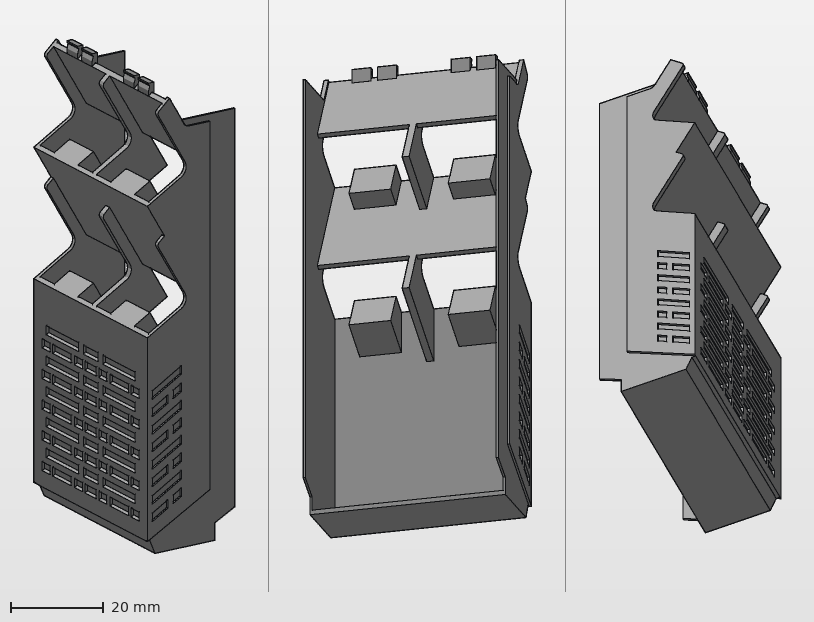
import cadquery as cq
import math


WIDTH = 45.0
DEPTH = 22.76
HEIGHT = 105.49

SIDE_WALL = 1.0
OUTER_SKIN = 0.5
LINER_WIDTH = WIDTH - 2 * OUTER_SKIN
INNER_WIDTH = WIDTH - 2 * SIDE_WALL
PLATE_THICKNESS = 1.15
FLOOR_THICKNESS = 1.0
RIB_WIDTH = 1.6
FUSE_OVERLAP = 0.2

SHALLOW = math.radians(30)
STEEP = math.radians(60)
END_ANGLE = math.radians(42)
BAY_PITCH = 30.1
LOWER_RIM_Z = 49.95
UPPER_RIM_Z = LOWER_RIM_Z + BAY_PITCH
FLANGE_RISE = 25.1
FLANGE_END_Y = 4.4
VALLEY_RADIUS = 2.5
FLANGE_RADIUS = 0.9
PLATE_FOOT_Y = 12.85
RIB_TIP_Y = 19.2

SHELL_BOTTOM_Z = 3.3
SHELL_BACK_Y = 16.05
SHELL_BACK_BOTTOM_Z = 12.1
SHELL_TOP_Z = 96.4
SHELL_END_Y = 5.7
SHELL_NECK_RADIUS = 1.3

LINER_TOP_Z = 97.9
LINER_BACK_BOTTOM_Z = 6.7
FLOOR_BACK_Y = 17.65
FLOOR_BACK_STEP_Z = 4.0
FLOOR_FRONT_Y = 2.3
LINER_FRONT_Y = 0.9

GROUP_X = 11.18
BLOCK_WIDTH = 9.4
BLOCK_DEPTH_Y = 4.95
BLOCK_DROP_Y = 4.0
CLIP_WIDTH = 4.27
CLIP_OFFSET_X = 2.875
CLIP_FRONT_Y = FLANGE_END_Y
CLIP_BACK_Y = 5.8
CLIP_NOTCH_DEPTH = 0.3
CLIP_LIP_HEIGHT = 0.35
CLIP_NOTCH_Z = 104.8
CLIP_NOTCH_BOTTOM_Z = 103.7

FRONT_VENT_DEPTH = 0.65
FRONT_VENT_HEIGHT = 2.05
FRONT_VENT_TOP_Z = 40.65
FRONT_VENT_PITCH = 3.51
FRONT_VENT_ROWS = 10
WIDE_ROW_SLOTS = ((0, 5.7), (11.2, 12.7))
NARROW_ROW_SLOTS = ((0, 4.4), (4.8, 3.1), (11.36, 7.28), (17.6, 3.1))

SIDE_VENT_HEIGHT = 1.92
SIDE_VENT_TOP_Z = 41.9
SIDE_VENT_PITCH = 4.0
SIDE_VENT_ROWS = 8
SIDE_VENT_FRONT_Y = 1.28
SIDE_VENT_BACK_Y = 8.76
FULL_ROW_SLOTS = ((SIDE_VENT_FRONT_Y, SIDE_VENT_BACK_Y),)
SPLIT_ROW_SLOTS = ((SIDE_VENT_FRONT_Y, 5.24), (6.65, SIDE_VENT_BACK_Y))


def toward(start, end, distance):
    """The point at a distance from start on the way to end."""
    share = distance / math.dist(start, end)
    return tuple(a + (b - a) * share for a, b in zip(start, end))


def prism(corners, width, centre_x=0.0):
    """Extrude an outline of (Y, Z) or (Y, Z, radius) corners along X; the first is sharp."""
    wire = None
    count = len(corners)
    for i, corner in enumerate(corners):
        point = corner[:2]
        if len(corner) == 2:
            wire = wire.lineTo(*point) if wire else cq.Workplane("YZ").moveTo(*point)
            continue
        radius = corner[2]
        before = corners[i - 1][:2]
        after = corners[(i + 1) % count][:2]
        ahead = toward(point, after, 1.0)
        behind = toward(point, before, 1.0)
        half_angle = math.asin(math.dist(ahead, behind) / 2)
        middle = ((ahead[0] + behind[0]) / 2, (ahead[1] + behind[1]) / 2)
        start = toward(point, before, radius / math.tan(half_angle))
        end = toward(point, after, radius / math.tan(half_angle))
        crown = toward(point, middle, radius / math.sin(half_angle) - radius)
        wire = wire.lineTo(*start).threePointArc(crown, end)
    return wire.close().extrude(width / 2, both=True).translate((centre_x, 0, 0))


def plate_front_z(rim_z, y):
    """Height of the front face of the steep plate that hangs from a rim."""
    return rim_z - y * math.tan(STEEP)


def plate_back_z(rim_z, y):
    """Height of the back face of the same plate."""
    return plate_front_z(rim_z, y) + PLATE_THICKNESS / math.cos(STEEP)


def plate_end_back_y(front_y, end_angle):
    """Depth at which a sloping upper end, starting at front_y, meets the back face of a plate."""
    end_depth = PLATE_THICKNESS / math.cos(STEEP) / (math.tan(STEEP) + math.tan(end_angle))
    return front_y + end_depth


def flange_end_z(rim_z, y):
    """Height of the sloping upper end of the bay above a rim."""
    upper_plate_z = plate_front_z(rim_z + BAY_PITCH, FLANGE_END_Y)
    return upper_plate_z + (y - FLANGE_END_Y) * math.tan(END_ANGLE)


def bay_front(rim_z):
    """Front outline of one bay from its rim to the foot of its flange end."""
    valley_y = FLANGE_RISE / (math.tan(SHALLOW) + math.tan(STEEP))
    valley_z = rim_z + valley_y * math.tan(SHALLOW)
    end_rise = flange_end_z(rim_z, 0) - rim_z
    tip_y = (FLANGE_RISE - end_rise) / (math.tan(END_ANGLE) + math.tan(STEEP))
    return [
        (0, rim_z),
        (valley_y, valley_z, VALLEY_RADIUS),
        (tip_y, flange_end_z(rim_z, tip_y), FLANGE_RADIUS),
        (FLANGE_END_Y, flange_end_z(rim_z, FLANGE_END_Y)),
    ]


def bays_front():
    """Front outline of both bays, from the lower rim upward."""
    return bay_front(LOWER_RIM_Z) + bay_front(UPPER_RIM_Z)


SHELL_END_Z = flange_end_z(UPPER_RIM_Z, SHELL_END_Y)


def shell_neck_y(z):
    """Depth of the steep back edge of the side walls above the back panel."""
    return SHELL_END_Y + (SHELL_END_Z - z) / math.tan(STEEP)


def make_side_walls():
    """Both side walls: an outer skin over a liner that reaches further back and down."""
    skin_outline = [
        (0, SHELL_BOTTOM_Z),
        *bays_front(),
        (SHELL_END_Y, SHELL_END_Z),
        (shell_neck_y(SHELL_TOP_Z), SHELL_TOP_Z, SHELL_NECK_RADIUS),
        (SHELL_BACK_Y, SHELL_TOP_Z),
        (SHELL_BACK_Y, SHELL_BACK_BOTTOM_Z),
    ]
    liner_outline = [
        (LINER_FRONT_Y, SHELL_BOTTOM_Z),
        (0, SHELL_BOTTOM_Z),
        *bays_front(),
        (SHELL_END_Y, SHELL_END_Z),
        (shell_neck_y(LINER_TOP_Z), LINER_TOP_Z),
        (DEPTH, LINER_TOP_Z),
        (DEPTH, LINER_BACK_BOTTOM_Z),
        (FLOOR_BACK_Y, FLOOR_BACK_STEP_Z),
        (FLOOR_BACK_Y, 0),
        (FLOOR_FRONT_Y, 0),
    ]
    inside = cq.Workplane().box(INNER_WIDTH, DEPTH, HEIGHT, centered=(True, False, False))
    walls = prism(skin_outline, WIDTH).union(prism(liner_outline, LINER_WIDTH))
    return walls.cut(inside)


def make_front_wall_and_floor():
    """Front wall below the lower bay, joined to the floor by a sloping foot."""
    rim_back_y = PLATE_THICKNESS * math.cos(SHALLOW)
    outline = [
        (0, SHELL_BOTTOM_Z),
        (0, LOWER_RIM_Z),
        (rim_back_y, plate_back_z(LOWER_RIM_Z, rim_back_y)),
        (rim_back_y, SHELL_BOTTOM_Z + FLOOR_THICKNESS),
        (LINER_FRONT_Y + PLATE_THICKNESS, SHELL_BOTTOM_Z),
        (FLOOR_FRONT_Y + PLATE_THICKNESS, FLOOR_THICKNESS),
        (FLOOR_BACK_Y, FLOOR_THICKNESS),
        (FLOOR_BACK_Y, 0),
        (FLOOR_FRONT_Y, 0),
        (LINER_FRONT_Y, SHELL_BOTTOM_Z),
    ]
    return prism(outline, INNER_WIDTH + FUSE_OVERLAP)


def make_plate(rim_z, top_y, end_angle):
    """Steep plate on the line below a rim, with its upper end at top_y."""
    back_top_y = plate_end_back_y(top_y, end_angle)
    back_foot_y = PLATE_FOOT_Y + PLATE_THICKNESS * math.cos(SHALLOW)
    outline = [
        (top_y, plate_front_z(rim_z, top_y)),
        (back_top_y, plate_back_z(rim_z, back_top_y)),
        (back_foot_y, plate_back_z(rim_z, back_foot_y)),
        (PLATE_FOOT_Y, plate_front_z(rim_z, PLATE_FOOT_Y)),
    ]
    return prism(outline, INNER_WIDTH + FUSE_OVERLAP)


def make_rib():
    """Centre rib: bay outline in front, saw teeth in line with the plates at the back."""
    top_plate_rim = UPPER_RIM_Z + BAY_PITCH
    top_back_y = plate_end_back_y(FLANGE_END_Y, END_ANGLE)
    upper_tip_z = plate_back_z(top_plate_rim, RIB_TIP_Y)
    lower_tip_z = plate_back_z(UPPER_RIM_Z, RIB_TIP_Y)
    root_gap = upper_tip_z - lower_tip_z
    root_y = RIB_TIP_Y - root_gap / (math.tan(SHALLOW) + math.tan(STEEP))
    front_root_y = PLATE_THICKNESS / 2
    outline = [
        (front_root_y, LOWER_RIM_Z + front_root_y * math.tan(SHALLOW)),
        *bays_front()[1:],
        (top_back_y, plate_back_z(top_plate_rim, top_back_y)),
        (RIB_TIP_Y, upper_tip_z),
        (root_y, plate_back_z(UPPER_RIM_Z, root_y)),
        (RIB_TIP_Y, lower_tip_z),
        (front_root_y, lower_tip_z - (RIB_TIP_Y - front_root_y) * math.tan(SHALLOW)),
    ]
    return prism(outline, RIB_WIDTH)


def make_block(rim_z, centre_x, root_y):
    """Support block whose top continues a rim; it is rooted in the wall at root_y."""
    top_back_z = rim_z + BLOCK_DEPTH_Y * math.tan(SHALLOW)
    low_back_y = BLOCK_DEPTH_Y + BLOCK_DROP_Y
    low_back_z = top_back_z - BLOCK_DROP_Y * math.tan(STEEP)
    outline = [
        (0, rim_z),
        (BLOCK_DEPTH_Y, top_back_z),
        (low_back_y, low_back_z),
        (root_y, low_back_z - (low_back_y - root_y) * math.tan(SHALLOW)),
    ]
    return prism(outline, BLOCK_WIDTH, centre_x)


def make_clip(centre_x):
    """Clip on the top plate with a V notch under its front lip."""
    outline = [
        (CLIP_FRONT_Y, HEIGHT),
        (CLIP_BACK_Y, HEIGHT),
        (CLIP_BACK_Y, plate_front_z(UPPER_RIM_Z + BAY_PITCH, CLIP_BACK_Y)),
        (CLIP_FRONT_Y, flange_end_z(UPPER_RIM_Z, CLIP_FRONT_Y)),
        (CLIP_FRONT_Y, CLIP_NOTCH_BOTTOM_Z),
        (CLIP_FRONT_Y + CLIP_NOTCH_DEPTH, CLIP_NOTCH_Z),
        (CLIP_FRONT_Y, HEIGHT - CLIP_LIP_HEIGHT),
    ]
    return prism(outline, CLIP_WIDTH, centre_x)


def mirrored(x):
    """A place on both sides of the plane of symmetry, or once if it lies on the plane."""
    return (x,) if x == 0 else (-x, x)


def cut_front_vents(body):
    """Blind slots in the front wall that rise inward."""
    rise = FRONT_VENT_DEPTH * math.tan(SHALLOW)
    for row in range(FRONT_VENT_ROWS):
        top = FRONT_VENT_TOP_Z - row * FRONT_VENT_PITCH
        bottom = top - FRONT_VENT_HEIGHT
        outline = [
            (0, bottom),
            (0, top),
            (FRONT_VENT_DEPTH, top + rise),
            (FRONT_VENT_DEPTH, bottom + rise),
        ]
        slots = NARROW_ROW_SLOTS if row % 2 else WIDE_ROW_SLOTS
        for centre, width in slots:
            for x in mirrored(centre):
                body = body.cut(prism(outline, width, x))
    return body


def cut_side_vents(body):
    """Blind slanted slots through the outer skin of both side walls."""
    for row in range(SIDE_VENT_ROWS):
        row_top = SIDE_VENT_TOP_Z - row * SIDE_VENT_PITCH
        slots = SPLIT_ROW_SLOTS if row % 2 else FULL_ROW_SLOTS
        for front_y, back_y in slots:
            front_top = row_top - (SIDE_VENT_BACK_Y - front_y) * math.tan(SHALLOW)
            back_top = row_top - (SIDE_VENT_BACK_Y - back_y) * math.tan(SHALLOW)
            outline = [
                (front_y, front_top),
                (back_y, back_top),
                (back_y, back_top - SIDE_VENT_HEIGHT),
                (front_y, front_top - SIDE_VENT_HEIGHT),
            ]
            for x in mirrored(WIDTH / 2):
                body = body.cut(prism(outline, 2 * OUTER_SKIN, x))
    return body


body = make_side_walls()
body = body.union(make_front_wall_and_floor())
body = body.union(make_plate(UPPER_RIM_Z, 0, SHALLOW))
body = body.union(make_plate(UPPER_RIM_Z + BAY_PITCH, FLANGE_END_Y, END_ANGLE))
body = body.union(make_rib())
for group_x in mirrored(GROUP_X):
    body = body.union(make_block(LOWER_RIM_Z, group_x, PLATE_THICKNESS / 2))
    body = body.union(make_block(UPPER_RIM_Z, group_x, BLOCK_DROP_Y))
    for offset in mirrored(CLIP_OFFSET_X):
        body = body.union(make_clip(group_x + offset))
body = cut_front_vents(body)
body = cut_side_vents(body)

result = body